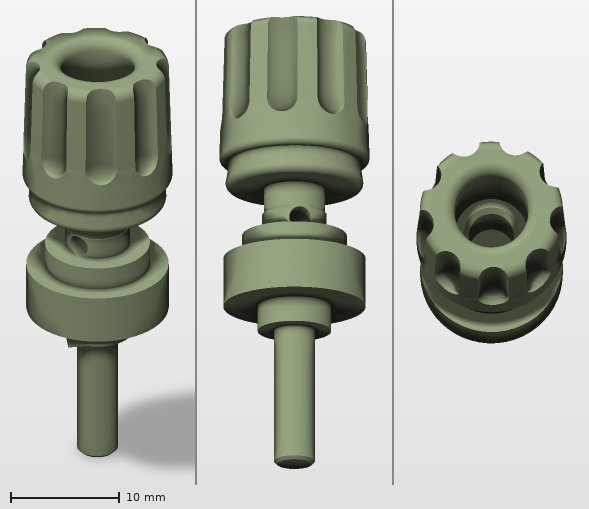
import cadquery as cq
import math

PIN_BOTTOM = 0.0
KEY_BOTTOM = 12.82
BASE_BOTTOM = 15.2
BASE_TOP = 19.8
FLANGE_TOP = 22.0
COLLAR_TOP = 24.0
SKIRT_BOTTOM = 26.45
KNOB_BOTTOM = 28.95
SHOULDER = 31.12
FLUTE_END = 33.5
KNOB_TOP = 41.5

PIN_DIAMETER = 3.8
PIN_CHAMFER = 0.3
FLANGE_DIAMETER = 9.7
COLLAR_DIAMETER = 5.98
STEM_DIAMETER = 5.7
CROSS_HOLE_DIAMETER = 2.0
SOCKET_DIAMETER = 4.2
SOCKET_CHAMFER = 0.5
SOCKET_FLOOR = COLLAR_TOP + 0.3

BASE_DIAMETER = 13.2
BOSS_DIAMETER = 6.8
KEY_REACH = 4.5
KEY_HALF_WIDTH = 1.2
KEY_ROOT = math.sqrt((BOSS_DIAMETER / 2) ** 2 - KEY_HALF_WIDTH**2)

SKIRT_TOP_RADIUS = 6.1
SKIRT_BOTTOM_RADIUS = 6.47
SKIRT_FILLET = 0.62

KNOB_BOTTOM_RADIUS = 6.97
KNOB_TOP_RADIUS = 6.6
KNOB_TOP_FILLET = 0.95
KNOB_BOTTOM_FILLET = 0.5
BORE_DIAMETER = 6.8
BORE_FILLET = 1.05
FLUTE_COUNT = 9
FLUTE_RADIUS = 1.45
FLUTE_CENTER_RADIUS = 6.95
FIRST_FLUTE_ANGLE = -90.0


def cylinder(diameter, bottom, top):
    return cq.Workplane("XY").workplane(offset=bottom).circle(diameter / 2).extrude(top - bottom)


def cone(bottom_radius, top_radius, bottom, top):
    outline = [(0, bottom), (bottom_radius, bottom), (top_radius, top), (0, top)]
    return cq.Workplane("XZ").polyline(outline).close().revolve(360, (0, 0, 0), (0, 1, 0))


def make_terminal():
    pin = cylinder(PIN_DIAMETER, PIN_BOTTOM, BASE_TOP).faces("<Z").chamfer(PIN_CHAMFER)
    flange = cylinder(FLANGE_DIAMETER, BASE_TOP, FLANGE_TOP)
    collar = cylinder(COLLAR_DIAMETER, FLANGE_TOP, COLLAR_TOP)
    stem = cylinder(STEM_DIAMETER, COLLAR_TOP, SHOULDER)
    body = pin.union(flange).union(collar).union(stem)

    hole_level = (FLANGE_TOP + COLLAR_TOP) / 2
    cross_hole = (
        cq.Workplane("XZ")
        .center(0, hole_level)
        .circle(CROSS_HOLE_DIAMETER / 2)
        .extrude(COLLAR_DIAMETER, both=True)
    )

    socket = cylinder(SOCKET_DIAMETER, SOCKET_FLOOR, SHOULDER)
    socket_radius = SOCKET_DIAMETER / 2
    mouth = cone(socket_radius, socket_radius + SOCKET_CHAMFER, SHOULDER - SOCKET_CHAMFER, SHOULDER)
    return body.cut(cross_hole).cut(socket).cut(mouth)


def make_base():
    disc = cylinder(BASE_DIAMETER, BASE_BOTTOM, BASE_TOP)
    boss = cylinder(BOSS_DIAMETER, KEY_BOTTOM, BASE_BOTTOM)
    key = (
        cq.Workplane("XY")
        .workplane(offset=KEY_BOTTOM)
        .moveTo(0, 0)
        .lineTo(KEY_HALF_WIDTH, -KEY_ROOT)
        .lineTo(0, -KEY_REACH)
        .lineTo(-KEY_HALF_WIDTH, -KEY_ROOT)
        .close()
        .extrude(BASE_BOTTOM - KEY_BOTTOM)
    )
    pin_hole = cylinder(PIN_DIAMETER, KEY_BOTTOM, BASE_TOP)
    return disc.union(boss).union(key).cut(pin_hole)


def make_skirt():
    ring = cone(SKIRT_BOTTOM_RADIUS, SKIRT_TOP_RADIUS, SKIRT_BOTTOM, KNOB_BOTTOM)
    ring = ring.faces("<Z").edges().fillet(SKIRT_FILLET)
    return ring.cut(cylinder(STEM_DIAMETER, SKIRT_BOTTOM, KNOB_BOTTOM))


def make_flute(angle):
    groove = cylinder(2 * FLUTE_RADIUS, FLUTE_END, KNOB_TOP)
    round_end = cq.Workplane("XY").workplane(offset=FLUTE_END).sphere(FLUTE_RADIUS)
    flute = groove.union(round_end).translate((FLUTE_CENTER_RADIUS, 0, 0))
    return flute.rotate((0, 0, 0), (0, 0, 1), angle)


def make_knob():
    knob = cone(KNOB_BOTTOM_RADIUS, KNOB_TOP_RADIUS, KNOB_BOTTOM, KNOB_TOP)
    knob = knob.faces(">Z").edges().fillet(KNOB_TOP_FILLET)
    knob = knob.faces("<Z").edges().fillet(KNOB_BOTTOM_FILLET)

    bore = cylinder(BORE_DIAMETER, SHOULDER, KNOB_TOP)
    stem_hole = cylinder(STEM_DIAMETER, KNOB_BOTTOM, SHOULDER)
    knob = knob.cut(bore).cut(stem_hole)
    bore_mouth = cq.selectors.RadiusNthSelector(0)
    knob = knob.faces(">Z").edges(bore_mouth).fillet(BORE_FILLET)

    for index in range(FLUTE_COUNT):
        knob = knob.cut(make_flute(FIRST_FLUTE_ANGLE + index * 360 / FLUTE_COUNT))
    return knob


terminal = make_terminal()
base = make_base()
skirt = make_skirt()
knob = make_knob()

result = cq.Compound.makeCompound([terminal.val(), base.val(), skirt.val(), knob.val()])